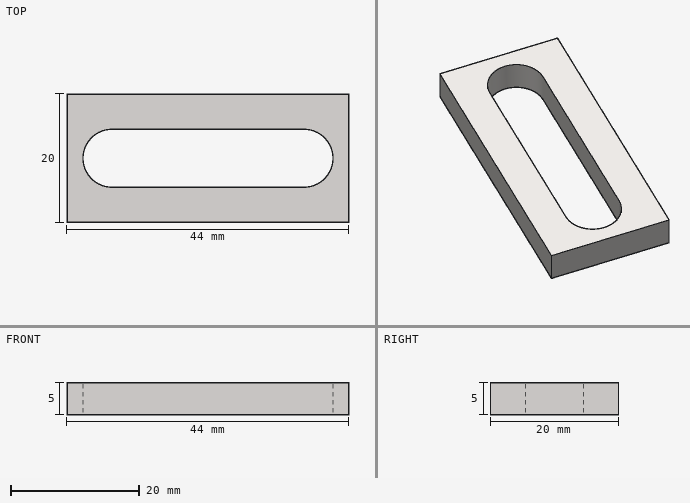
import cadquery as cq

length = 44.0
width = 20.0
thickness = 5.0

slot_length = 39.0
slot_width = 9.0

plate = cq.Workplane("XY").box(length, width, thickness)
result = plate.faces(">Z").workplane().slot2D(slot_length, slot_width).cutThruAll()